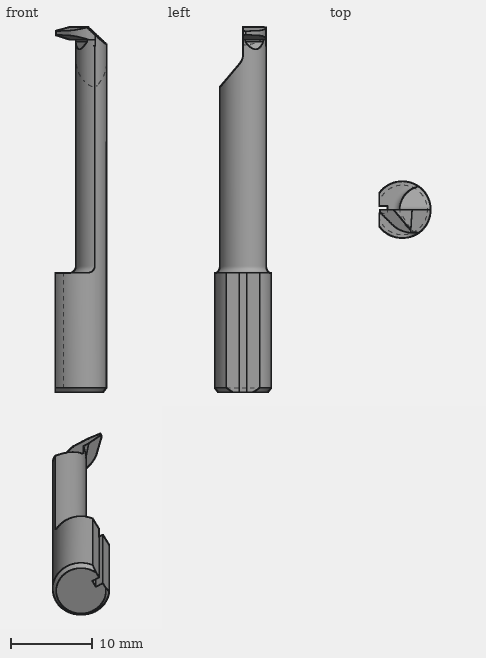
import cadquery as cq
import math

total_height = 45.0
shank_radius = 3.5
shank_height = 14.7
flat_x = -2.85
slot_width = 0.9
slot_depth = 1.0
foot_chamfer_height = 0.6
foot_chamfer_inset = 0.45

neck_radius = 2.92
neck_left_x = -0.3
neck_x = neck_left_x + neck_radius
neck_fillet = 0.8

half_cut_corner_z = 41.0
half_cut_slope = 50.0
half_cut_fillet = 1.8

head_bottom_z = 43.4
tip_x = -2.75
tip_land = 0.3
tip_top_z = 44.55
tip_bottom_z = 43.95
head_side_y = -2.85
flank_end = (-1.12, -1.95)
flank_arc_middle = (-0.15, -2.55)
side_start_x = 1.0
ridge_start_x = -1.1
ridge_angle = -50.0

back_slope_x = 1.2
back_slope_drop = 2.15
back_slope_turn = -3.8

scallop_depth = 0.3
scallop_step = 0.22
scallop_height = 1.15
scallop_angle = 212.0
relief_x = 1.75
relief_bottom_z = 42.65

reach = 3 * shank_radius


def make_bar():
    return (
        cq.Workplane("XZ")
        .moveTo(0, 0)
        .lineTo(shank_radius - foot_chamfer_inset, 0)
        .lineTo(shank_radius, foot_chamfer_height)
        .lineTo(shank_radius, total_height)
        .lineTo(0, total_height)
        .close()
        .revolve(360, (0, 0, 0), (0, 1, 0))
    )


def make_shank():
    blank = cq.Workplane("XY").box(reach, reach, shank_height, centered=(False, True, False))
    slot = cq.Workplane("XY").box(slot_depth, slot_width, shank_height, centered=(False, True, False))
    return blank.cut(slot).translate((flat_x, 0, 0))


def make_neck():
    flare_radius = neck_radius + neck_fillet
    arc_shift = neck_fillet * (1 - math.sqrt(0.5))
    return (
        cq.Workplane("XZ")
        .moveTo(0, shank_height)
        .lineTo(flare_radius, shank_height)
        .threePointArc(
            (neck_radius + arc_shift, shank_height + arc_shift),
            (neck_radius, shank_height + neck_fillet),
        )
        .lineTo(neck_radius, head_bottom_z)
        .lineTo(0, head_bottom_z)
        .close()
        .revolve(360, (0, 0, 0), (0, 1, 0))
        .translate((neck_x, 0, 0))
    )


def make_half_cut():
    rise = reach * math.tan(math.radians(half_cut_slope))
    cutter = (
        cq.Workplane("YZ")
        .moveTo(0, half_cut_corner_z)
        .lineTo(reach, half_cut_corner_z - rise)
        .lineTo(reach, total_height)
        .lineTo(0, total_height)
        .close()
        .extrude(reach, both=True)
    )
    corner = cq.selectors.NearestToPointSelector((0, 0, half_cut_corner_z))
    return cutter.edges(corner).fillet(half_cut_fillet)


def make_scallop():
    wedge = (
        cq.Workplane("XZ")
        .moveTo(neck_radius - scallop_depth, head_bottom_z)
        .lineTo(neck_radius - scallop_depth, head_bottom_z - scallop_step)
        .lineTo(neck_radius, head_bottom_z - scallop_height)
        .lineTo(reach, head_bottom_z - scallop_height)
        .lineTo(reach, head_bottom_z)
        .close()
        .extrude(reach, both=True)
    )
    return wedge.rotate((0, 0, 0), (0, 0, 1), scallop_angle).translate((neck_x, 0, 0))


def make_side_relief():
    block = cq.Workplane("XY").box(reach, reach, total_height - relief_bottom_z, centered=False)
    return block.translate((relief_x, head_side_y - reach, relief_bottom_z))


def make_head():
    plan = (
        cq.Workplane("XY", origin=(0, 0, head_bottom_z))
        .moveTo(tip_x, 0)
        .lineTo(tip_x, -tip_land)
        .lineTo(*flank_end)
        .threePointArc(flank_arc_middle, (side_start_x, head_side_y))
        .lineTo(reach, head_side_y)
        .lineTo(reach, 0)
        .close()
        .extrude(total_height - head_bottom_z)
    )
    tip_offset = (ridge_start_x - tip_x) * math.sin(math.radians(-ridge_angle))
    overrun = 0.9
    growth = 1 + overrun / tip_offset
    far_top_z = total_height - (total_height - tip_top_z) * growth
    far_bottom_z = head_bottom_z + (tip_bottom_z - head_bottom_z) * growth
    bevels = (
        cq.Workplane("YZ")
        .moveTo(reach, head_bottom_z)
        .lineTo(0, head_bottom_z)
        .lineTo(-tip_offset - overrun, far_bottom_z)
        .lineTo(-tip_offset - overrun, far_top_z)
        .lineTo(0, total_height)
        .lineTo(reach, total_height)
        .close()
        .extrude(reach, both=True)
        .rotate((0, 0, 0), (0, 0, 1), ridge_angle)
        .translate((ridge_start_x, 0, 0))
    )
    return plan.intersect(bevels)


def make_back_slope():
    slope = back_slope_drop / (shank_radius - back_slope_x)
    cutter = (
        cq.Workplane("XZ")
        .moveTo(0, total_height)
        .lineTo(reach, total_height - slope * reach)
        .lineTo(reach, total_height)
        .close()
        .extrude(reach, both=True)
    )
    return cutter.rotate((0, 0, 0), (0, 0, 1), back_slope_turn).translate((back_slope_x, 0, 0))


neck = make_neck().cut(make_half_cut()).cut(make_scallop()).cut(make_side_relief())
body = make_shank().union(neck).union(make_head()).cut(make_back_slope())
result = body.intersect(make_bar())